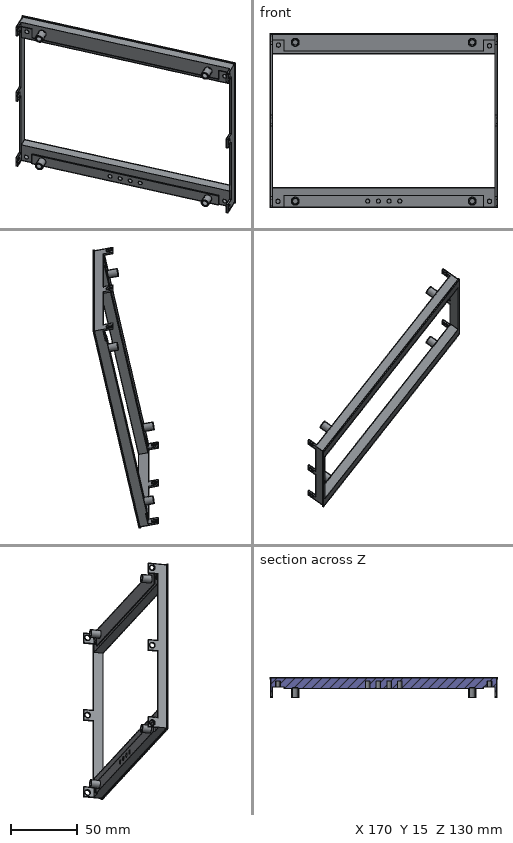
import cadquery as cq

width = 170.0
height = 130.0
depth = 15.0

rim_thickness = 1.0
rim_overhang = 0.5
wall_thickness = 1.4
wall_depth = 7.6
body_half_width = width / 2 - rim_overhang
body_half_height = height / 2 - rim_overhang
inner_half_width = body_half_width - wall_thickness

opening_half_height = 50.0
step = 0.5
pad_half_width = 74.5
top_land_bottom = 52.2
top_notch_top = 60.4
bottom_pad_top = -56.1

end_tab_height = 7.6
middle_tab_height = 8.2
tab_hole_diameter = 4.2
tab_hole_setback = 2.9
tab_hole_end_z = 61.2

standoff_diameter = 6.0
standoff_bore = 4.0
standoff_x = 66.1
standoff_top_z = 58.5
bottom_row_z = -60.2

blind_hole_depth = 5.1
corner_hole_diameter = 3.2
corner_holes = [(-78.7, 56.5), (79.0, 56.0), (-79.0, -60.4), (79.0, -60.4)]
row_hole_diameter = 3.0
row_hole_count = 4
row_hole_pitch = 8.0


def block(x_min, x_max, front, back, z_min, z_max):
    """Box between two X, two Z and two depths measured forward from the back face."""
    return cq.Workplane("XY").box(
        x_max - x_min, front - back, z_max - z_min, centered=False
    ).translate((x_min, -front, z_min))


def pin(x, z, diameter, front, back):
    """Cylinder along Y between two depths measured forward from the back face."""
    return (
        cq.Workplane("XZ", origin=(x, -back, z))
        .circle(diameter / 2)
        .extrude(front - back)
    )


def make_frame():
    rim = block(-width / 2, width / 2, rim_thickness, 0, -height / 2, height / 2)
    body = block(
        -body_half_width, body_half_width, wall_depth, 0, -body_half_height, body_half_height
    )
    opening = block(
        -inner_half_width, inner_half_width, wall_depth, 0, -opening_half_height, opening_half_height
    )
    return rim.union(body).cut(opening)


def step_top_rail(frame):
    """Lower the bottom strip and both corners of the top rail's front face."""
    step_back = wall_depth - step
    strip = block(
        -inner_half_width, inner_half_width, wall_depth, step_back, opening_half_height, top_land_bottom
    )
    frame = frame.cut(strip)
    for x_min, x_max in [(-inner_half_width, -pad_half_width), (pad_half_width, inner_half_width)]:
        corner = block(x_min, x_max, wall_depth, step_back, opening_half_height, top_notch_top)
        frame = frame.cut(corner)
    return frame


def step_bottom_rail(frame):
    """Set the bottom rail's front face back from the walls and add its raised pad."""
    recess = block(
        -inner_half_width, inner_half_width, wall_depth, wall_depth - step, -body_half_height, -opening_half_height
    )
    pad = block(
        -pad_half_width, pad_half_width, wall_depth + step, rim_thickness, -body_half_height, bottom_pad_top
    )
    return frame.cut(recess).union(pad)


def add_tabs(frame):
    """Three drilled tabs run forward from each side wall."""
    tabs = [
        (-body_half_height, end_tab_height, -tab_hole_end_z),
        (-middle_tab_height / 2, middle_tab_height, 0),
        (body_half_height - end_tab_height, end_tab_height, tab_hole_end_z),
    ]
    for z_min, tab_height, hole_z in tabs:
        for x_min in (-body_half_width, inner_half_width):
            tab = block(x_min, x_min + wall_thickness, depth, rim_thickness, z_min, z_min + tab_height)
            hole = (
                cq.Workplane("YZ", origin=(x_min, tab_hole_setback - depth, hole_z))
                .circle(tab_hole_diameter / 2)
                .extrude(wall_thickness)
            )
            frame = frame.union(tab).cut(hole)
    return frame


def add_standoffs(frame):
    for x in (-standoff_x, standoff_x):
        for z in (standoff_top_z, bottom_row_z):
            post = pin(x, z, standoff_diameter, depth, rim_thickness)
            bore = pin(x, z, standoff_bore, depth, wall_depth)
            frame = frame.union(post).cut(bore)
    return frame


def drill_rails(frame):
    front = wall_depth + step
    back = wall_depth - blind_hole_depth
    for x, z in corner_holes:
        frame = frame.cut(pin(x, z, corner_hole_diameter, front, back))
    for index in range(row_hole_count):
        x = (index - (row_hole_count - 1) / 2) * row_hole_pitch
        frame = frame.cut(pin(x, bottom_row_z, row_hole_diameter, front, back))
    return frame


frame = make_frame()
frame = step_top_rail(frame)
frame = step_bottom_rail(frame)
frame = add_tabs(frame)
frame = add_standoffs(frame)
result = drill_rails(frame)